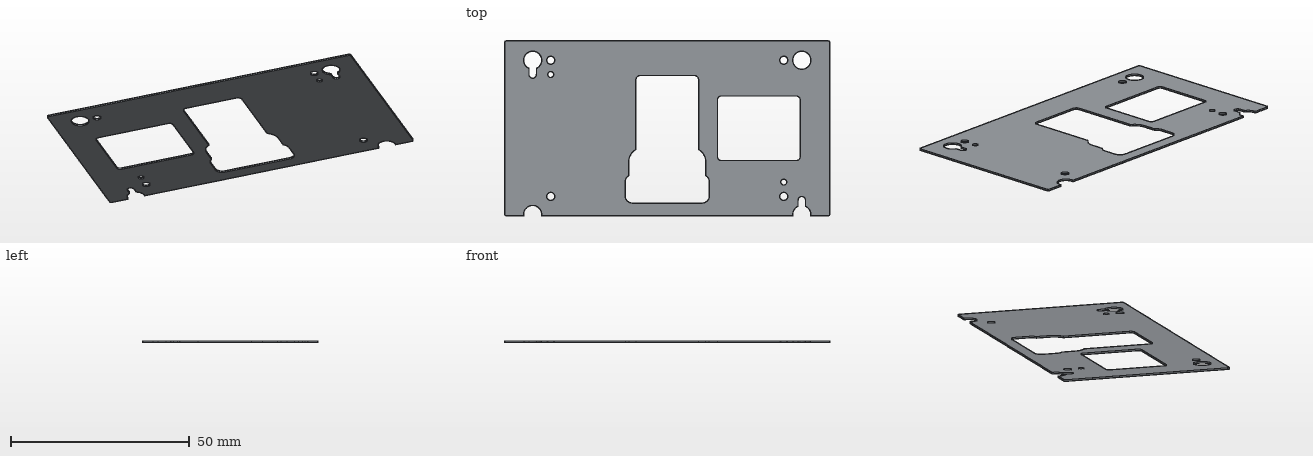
import cadquery as cq

PLATE_LENGTH = 91.0
PLATE_WIDTH = 49.0
PLATE_THICKNESS = 0.5
PLATE_CORNER_RADIUS = 0.5

MOUNT_HOLE_DIAMETER = 2.2
MOUNT_HOLE_X = 32.6
MOUNT_HOLE_Y = 19.05

PILOT_HOLE_DIAMETER = 1.6
PILOT_HOLE_Y = 15.05

HEAD_DIAMETER = 5.0
HEAD_X = 37.65
HEAD_UPPER_Y = 19.05
HEAD_LOWER_Y = -24.1
KEY_SLOT_WIDTH = 2.0
KEY_SLOT_TRAVEL = 4.0

WINDOW_LEFT = 14.1
WINDOW_RIGHT = 37.15
WINDOW_HEIGHT = 18.0
WINDOW_CORNER_RADIUS = 1.0

OPENING_BOTTOM = -20.9
NECK_WIDTH = 17.5
NECK_TOP = 14.75
NECK_CORNER_RADIUS = 1.2
SHOULDER_WIDTH = 21.5
SHOULDER_TOP = -5.4
SHOULDER_CORNER_RADIUS = 4.0
BASE_WIDTH = 23.5
BASE_TOP = -13.0
BASE_CORNER_RADIUS = 2.0


def rounded_block(left, right, bottom, top, radius):
    """Block of plate thickness with rounded upright edges."""
    return (
        cq.Workplane("XY")
        .center((left + right) / 2, (bottom + top) / 2)
        .rect(right - left, top - bottom)
        .extrude(PLATE_THICKNESS)
        .edges("|Z")
        .fillet(radius)
    )


def centred_block(width, bottom, top, radius):
    """Rounded block that is symmetric about the Y axis."""
    return rounded_block(-width / 2, width / 2, bottom, top, radius)


def round_pins(points, diameter):
    """Cylinders of plate thickness, one at each point."""
    return cq.Workplane("XY").pushPoints(points).circle(diameter / 2).extrude(PLATE_THICKNESS)


def key_slot(x, head_y, travel):
    """Round-ended slot from a screw-head centre to a point travel away in Y."""
    return (
        cq.Workplane("XY")
        .center(x, head_y + travel / 2)
        .slot2D(abs(travel) + KEY_SLOT_WIDTH, KEY_SLOT_WIDTH, 90)
        .extrude(PLATE_THICKNESS)
    )


def stepped_opening():
    """Narrow neck, round-shouldered middle and wide base in one cutter."""
    neck = centred_block(NECK_WIDTH, OPENING_BOTTOM, NECK_TOP, NECK_CORNER_RADIUS)
    base = centred_block(BASE_WIDTH, OPENING_BOTTOM, BASE_TOP, BASE_CORNER_RADIUS)
    shoulder = centred_block(SHOULDER_WIDTH, OPENING_BOTTOM, SHOULDER_TOP, SHOULDER_CORNER_RADIUS)
    return neck.union(shoulder).union(base)


plate = centred_block(PLATE_LENGTH, -PLATE_WIDTH / 2, PLATE_WIDTH / 2, PLATE_CORNER_RADIUS)

mount_points = [(sx * MOUNT_HOLE_X, sy * MOUNT_HOLE_Y) for sx in (-1, 1) for sy in (-1, 1)]
pilot_points = [(-MOUNT_HOLE_X, PILOT_HOLE_Y), (MOUNT_HOLE_X, -PILOT_HOLE_Y)]
head_points = [(sx * HEAD_X, y) for sx in (-1, 1) for y in (HEAD_UPPER_Y, HEAD_LOWER_Y)]

cutters = [
    round_pins(mount_points, MOUNT_HOLE_DIAMETER),
    round_pins(pilot_points, PILOT_HOLE_DIAMETER),
    round_pins(head_points, HEAD_DIAMETER),
    key_slot(-HEAD_X, HEAD_UPPER_Y, -KEY_SLOT_TRAVEL),
    key_slot(HEAD_X, HEAD_LOWER_Y, KEY_SLOT_TRAVEL),
    rounded_block(WINDOW_LEFT, WINDOW_RIGHT, -WINDOW_HEIGHT / 2, WINDOW_HEIGHT / 2, WINDOW_CORNER_RADIUS),
    stepped_opening(),
]

result = plate
for cutter in cutters:
    result = result.cut(cutter)